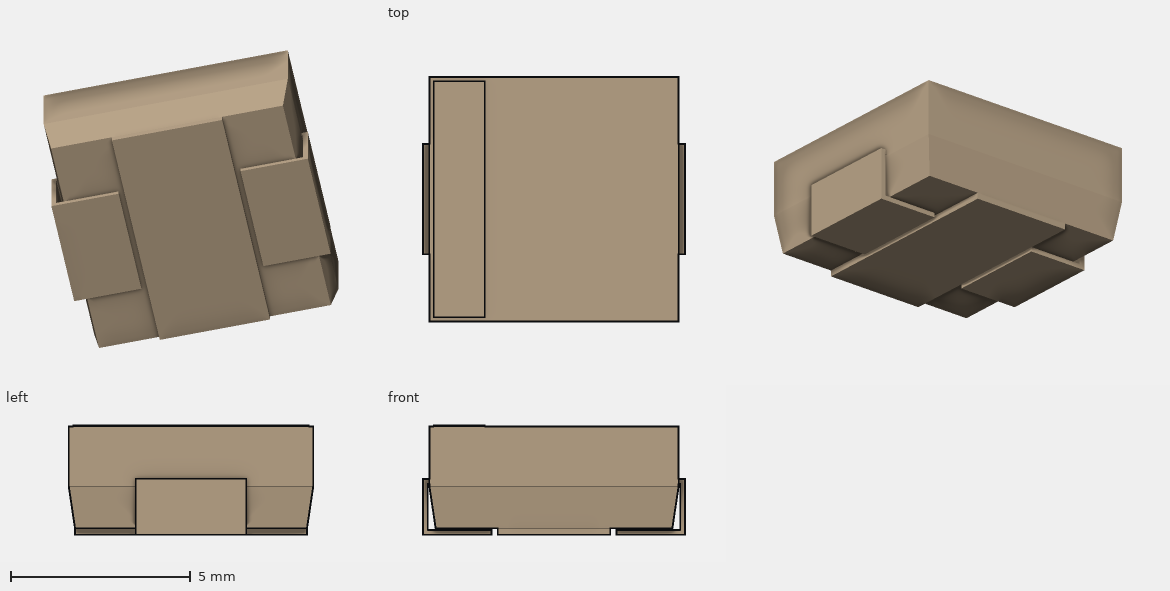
import cadquery as cq

overall_length = 7.29
body_length = 6.94
body_width = 6.81
overall_height = 3.05

band_thickness = 0.03
body_top = overall_height - band_thickness
parting_height = 1.355
body_bottom = 0.18
taper_inset = 0.175
base_length = body_length - 2 * taper_inset
base_width = body_width - 2 * taper_inset
pad_length = 3.135

band_length = 1.42
band_margin = 0.125
band_width = body_width - 2 * band_margin

terminal_width = 3.08
terminal_height = 1.56
terminal_thickness = 0.14
foot_length = 1.91


def block(length, width, bottom, top):
    """Box centred on the Z axis between two heights."""
    return (
        cq.Workplane("XY")
        .workplane(offset=bottom)
        .rect(length, width)
        .extrude(top - bottom)
    )


def make_housing():
    """Moulded body with its tapered underside and standoff pad."""
    upper = block(body_length, body_width, parting_height, body_top)
    lower = (
        cq.Workplane("XY")
        .workplane(offset=body_bottom)
        .rect(base_length, base_width)
        .workplane(offset=parting_height - body_bottom)
        .rect(body_length, body_width)
        .loft(ruled=True)
    )
    pad = block(pad_length, base_width, 0, body_bottom)
    return upper.union(lower).union(pad)


def make_band():
    """Thin marking strip lying on the housing near its -X edge."""
    band_center_x = -body_length / 2 + band_margin + band_length / 2
    band = block(band_length, band_width, body_top, overall_height)
    return band.translate((band_center_x, 0, 0))


def make_terminal(side):
    """C-shaped terminal on the -X (side = -1) or +X (side = 1) end."""
    outer = side * overall_length / 2
    inner = outer - side * terminal_thickness
    housing_face = side * body_length / 2
    foot_end = outer - side * foot_length
    lip_bottom = terminal_height - terminal_thickness
    profile = [
        (foot_end, 0),
        (outer, 0),
        (outer, terminal_height),
        (housing_face, terminal_height),
        (housing_face, lip_bottom),
        (inner, lip_bottom),
        (inner, terminal_thickness),
        (foot_end, terminal_thickness),
    ]
    return (
        cq.Workplane("XZ")
        .polyline(profile)
        .close()
        .extrude(terminal_width / 2, both=True)
    )


housing = make_housing()
band = make_band()
terminals = [make_terminal(side) for side in (-1, 1)]

result = cq.Compound.makeCompound(
    [housing.val(), band.val(), *[terminal.val() for terminal in terminals]]
)